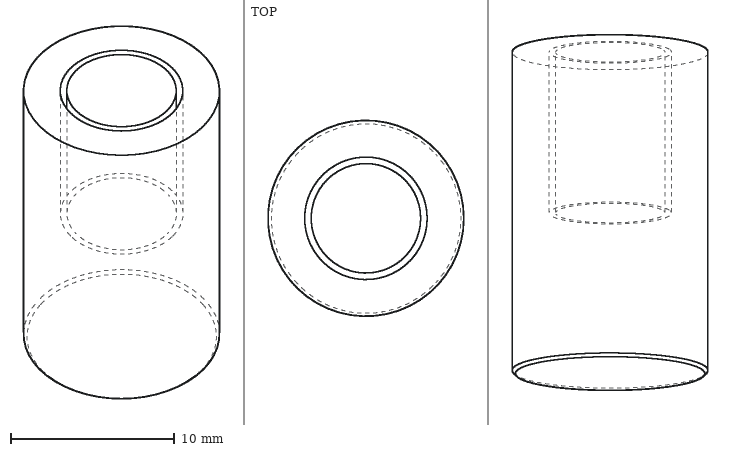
import cadquery as cq

housing_diameter = 12.0
housing_height = 20.0
base_chamfer = 0.2
bore_diameter = 7.5
bore_depth = housing_height / 2

radial_gap = 0.4
core_diameter = bore_diameter - 2 * radial_gap
bore_floor = housing_height - bore_depth


def cylinder(diameter, height, base_z):
    """Upright cylinder on the Z axis, standing at base_z."""
    return cq.Workplane("XY").workplane(offset=base_z).circle(diameter / 2).extrude(height)


def make_housing():
    """Cylinder with a chamfered bottom edge and a blind bore."""
    body = cylinder(housing_diameter, housing_height, 0)
    body = body.faces("<Z").edges().chamfer(base_chamfer)
    return body.cut(cylinder(bore_diameter, bore_depth, bore_floor))


def make_core():
    """Plain cylinder that leaves an open ring-shaped gap inside the bore."""
    return cylinder(core_diameter, bore_depth, bore_floor)


housing = make_housing()
core = make_core()

result = cq.Compound.makeCompound([housing.val(), core.val()])